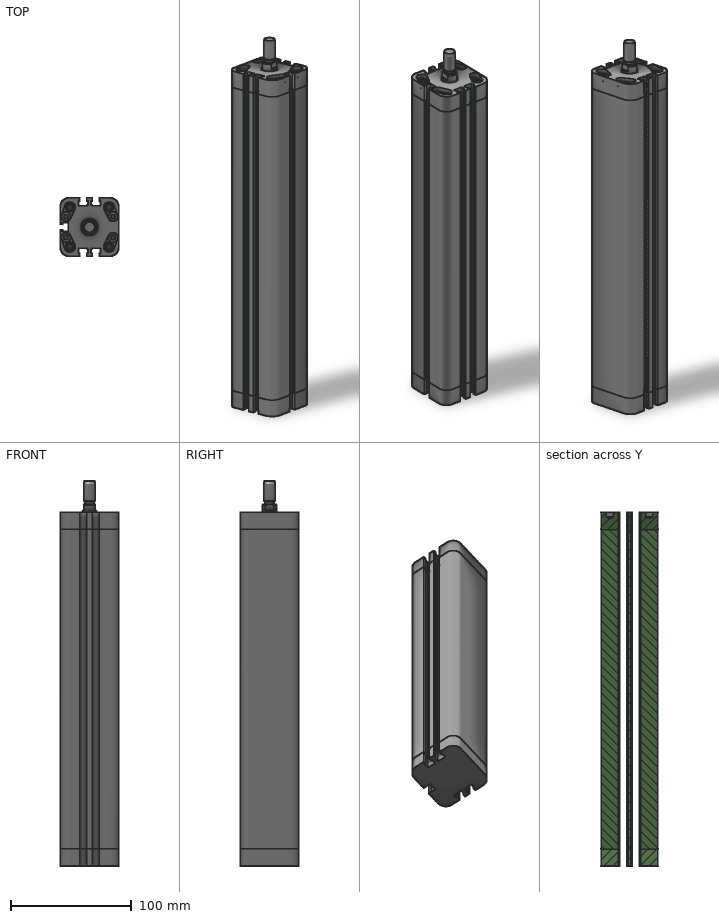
import cadquery as cq
import math

SIDE = 49.0
CORNER_RADIUS = 8.0
TOTAL_LENGTH = 319.5
CAP_LENGTH = 14.5
ROD_PROJECTION = 26.0
BODY_LENGTH = TOTAL_LENGTH - ROD_PROJECTION
BARREL_LENGTH = BODY_LENGTH - 2 * CAP_LENGTH
FRONT_CAP_BASE = CAP_LENGTH + BARREL_LENGTH
HALF_SIDE = SIDE / 2

SLOT_DEPTH = 6.7
LIP_DEPTH = 3.0
PAIR_PITCH = 10.5
PAIR_OFFSET = PAIR_PITCH / 2
PAIR_MOUTH = 5.8
PAIR_WIDTH = 7.7
PAIR_LEFT = PAIR_OFFSET - PAIR_WIDTH / 2
PAIR_RIGHT = PAIR_OFFSET + PAIR_WIDTH / 2
PAIR_FLOOR = HALF_SIDE - SLOT_DEPTH
WEB_CHAMFER = 1.0
BARREL_MOUTH = 4.8
CAP_MOUTH = 6.7
SINGLE_WIDTH = 7.0
BARREL_LIP_DEPTH = 2.2
MOUTH_CHAMFER_DEPTH = 0.3

SCREW_OFFSET = 16.3
SCREW_END_DIAMETER = 9.0
COUNTERBORE_DIAMETER = 7.5
SCREW_HOLE_DIAMETER = 5.0
SIDE_HOLE_X = 19.5
SIDE_HOLE_Y = 8.5
SIDE_HOLE_DIAMETER = 8.0
SOCKET_WIDTH = 3.5
SOCKET_SIDES = 6
BACK_SOCKET_ANGLE = 0
FRONT_SOCKET_ANGLE = 90
POCKET_DEPTH = 3.8
COUNTERBORE_DEPTH = 4.8
SIDE_HOLE_DEPTH = 4.8
SOCKET_DEPTH = 6.7
SCREW_HOLE_DEPTH = 9.5

ROD_DIAMETER = 12.0
ROD_CHAMFER = 1.0
ROD_SHOULDER = 6.7
FLAT_WIDTH = 10.0
FLAT_START = 0.5
NECK_DIAMETER = 8.0
NECK_LENGTH = 2.0
THREAD_DIAMETER = 10.0
TIP_DIAMETER = 8.5
TIP_CHAMFER = 2.5
ROD_RECESS_DIAMETER = 14.0
ROD_RECESS_DEPTH = 1.5


def prism(length, base):
    """Square bar with rounded corners, standing on height base."""
    bar = cq.Workplane("XY").workplane(offset=base).rect(SIDE, SIDE).extrude(length)
    return bar.edges("|Z").fillet(CORNER_RADIUS)


def side_prism(points, length, base):
    """Prism standing on height base with the given outline."""
    return cq.Workplane("XY").workplane(offset=base).polyline(points).close().extrude(length)


def pair_outline(web_foot):
    """T-slot at the +Y side, right of the central web; web_foot lists its corners at the web."""
    lip = HALF_SIDE - LIP_DEPTH
    mouth_left = PAIR_OFFSET - PAIR_MOUTH / 2
    mouth_right = PAIR_OFFSET + PAIR_MOUTH / 2
    left_wall = [(mouth_left, HALF_SIDE), (mouth_left, lip), (PAIR_LEFT, lip)]
    right_wall = [
        (PAIR_RIGHT, PAIR_FLOOR),
        (PAIR_RIGHT, lip),
        (mouth_right, lip),
        (mouth_right, HALF_SIDE),
    ]
    return left_wall + web_foot + right_wall


def single_outline(wall):
    """Slot at the -X side, from the points of its +Y wall."""
    return wall + [(x, -y) for x, y in reversed(wall)]


def slotted_prism(length, base, pair, single):
    """Rounded bar with two T-slots along each Y side and one slot along the -X side."""
    right_cutter = side_prism(pair, length, base)
    top_cutters = right_cutter.union(right_cutter.mirror("YZ"))
    body = prism(length, base).cut(top_cutters).cut(top_cutters.mirror("XZ"))
    return body.cut(side_prism(single, length, base))


def make_plain_cap(base):
    lip = -HALF_SIDE + LIP_DEPTH
    wall = [
        (-HALF_SIDE, CAP_MOUTH / 2),
        (lip, CAP_MOUTH / 2),
        (lip, SINGLE_WIDTH / 2),
        (-HALF_SIDE + SLOT_DEPTH, SINGLE_WIDTH / 2),
    ]
    web_foot = [(PAIR_LEFT, PAIR_FLOOR)]
    return slotted_prism(CAP_LENGTH, base, pair_outline(web_foot), single_outline(wall))


def make_barrel():
    lip = -HALF_SIDE + BARREL_LIP_DEPTH
    wall = [
        (-HALF_SIDE, CAP_MOUTH / 2),
        (-HALF_SIDE + MOUTH_CHAMFER_DEPTH, BARREL_MOUTH / 2),
        (lip, BARREL_MOUTH / 2),
        (lip, SINGLE_WIDTH / 2),
        (-HALF_SIDE + SLOT_DEPTH, SINGLE_WIDTH / 2),
    ]
    web_foot = [(PAIR_LEFT, PAIR_FLOOR + WEB_CHAMFER), (PAIR_LEFT + WEB_CHAMFER, PAIR_FLOOR)]
    return slotted_prism(BARREL_LENGTH, CAP_LENGTH, pair_outline(web_foot), single_outline(wall))


def bore(x, y, diameter, depth):
    """Cylinder going down from the front face of the body."""
    start = cq.Workplane("XY").workplane(offset=BODY_LENGTH - depth)
    return start.center(x, y).circle(diameter / 2).extrude(depth)


def corner_pocket(socket_angle):
    """Pocket of the +X +Y corner: a tapered oblong around a screw hole and a socket screw."""
    screw = (SCREW_OFFSET, SCREW_OFFSET)
    side = (SIDE_HOLE_X, SIDE_HOLE_Y)
    screw_radius = SCREW_END_DIAMETER / 2
    side_radius = SIDE_HOLE_DIAMETER / 2

    span = math.dist(screw, side)
    axis_angle = math.atan2(side[1] - screw[1], side[0] - screw[0])
    tangent_angle = math.acos((screw_radius - side_radius) / span)
    flanks = []
    for centre, radius, turns in ((screw, screw_radius, (1, -1)), (side, side_radius, (-1, 1))):
        for turn in turns:
            angle = axis_angle + turn * tangent_angle
            flanks.append((centre[0] + radius * math.cos(angle), centre[1] + radius * math.sin(angle)))
    pocket = side_prism(flanks, POCKET_DEPTH, BODY_LENGTH - POCKET_DEPTH)
    pocket = pocket.union(bore(*screw, SCREW_END_DIAMETER, POCKET_DEPTH))
    pocket = pocket.union(bore(*screw, COUNTERBORE_DIAMETER, COUNTERBORE_DEPTH))
    pocket = pocket.union(bore(*screw, SCREW_HOLE_DIAMETER, SCREW_HOLE_DEPTH))
    pocket = pocket.union(bore(*side, SIDE_HOLE_DIAMETER, SIDE_HOLE_DEPTH))

    socket_diameter = SOCKET_WIDTH / math.cos(math.pi / SOCKET_SIDES)
    socket = cq.Workplane("XY").workplane(offset=BODY_LENGTH - SOCKET_DEPTH).center(*side)
    socket = socket.polygon(SOCKET_SIDES, socket_diameter).extrude(SOCKET_DEPTH)
    return pocket.union(socket.rotate((*side, 0), (*side, 1), socket_angle))


def make_front_cap():
    right = corner_pocket(BACK_SOCKET_ANGLE).union(corner_pocket(FRONT_SOCKET_ANGLE).mirror("XZ"))
    cap = make_plain_cap(FRONT_CAP_BASE).cut(right).cut(right.mirror("YZ"))
    cap = cap.cut(bore(0, 0, ROD_DIAMETER, CAP_LENGTH))
    return cap.cut(bore(0, 0, ROD_RECESS_DIAMETER, ROD_RECESS_DEPTH))


def make_rod():
    rod_r = ROD_DIAMETER / 2
    neck_r = NECK_DIAMETER / 2
    thread_r = THREAD_DIAMETER / 2
    shoulder = BODY_LENGTH + ROD_SHOULDER
    thread = shoulder + NECK_LENGTH
    profile = [
        (0, FRONT_CAP_BASE),
        (rod_r, FRONT_CAP_BASE),
        (rod_r, shoulder - ROD_CHAMFER),
        (rod_r - ROD_CHAMFER, shoulder),
        (neck_r, shoulder),
        (neck_r, thread),
        (thread_r, thread + thread_r - neck_r),
        (thread_r, TOTAL_LENGTH - TIP_CHAMFER),
        (TIP_DIAMETER / 2, TOTAL_LENGTH),
        (0, TOTAL_LENGTH),
    ]
    rod = cq.Workplane("XZ").polyline(profile).close().revolve(360, (0, 0, 0), (0, 1, 0))

    flat_start = BODY_LENGTH + FLAT_START
    flat_x = FLAT_WIDTH / 2
    flat_outline = [
        (rod_r, flat_start),
        (rod_r, shoulder),
        (flat_x, shoulder),
        (flat_x, flat_start + rod_r - flat_x),
    ]
    flat = cq.Workplane("XZ").polyline(flat_outline).close().extrude(rod_r, both=True)
    return rod.cut(flat).cut(flat.mirror("YZ"))


rear_cap = make_plain_cap(0)
barrel = make_barrel()
front_cap = make_front_cap()
rod = make_rod()
result = cq.Compound.makeCompound([rear_cap.val(), barrel.val(), front_cap.val(), rod.val()])